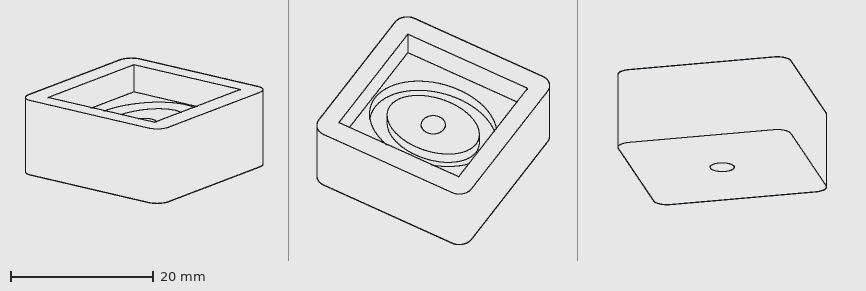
import cadquery as cq

side = 25.0
height = 11.0
corner_radius = 2.0

pocket_x = 19.0
pocket_y = 19.6
pocket_depth = 4.0

groove_outer_x = 14.5
groove_outer_y = 19.0
groove_width = 2.5
groove_depth = 2.0

island_drop = 0.2

hole_diameter = 3.4

pocket_floor = height - pocket_depth
groove_floor = pocket_floor - groove_depth


def elliptical_post(size_x, size_y, post_height):
    """Elliptical solid rising from the groove floor."""
    return (
        cq.Workplane("XY", origin=(0, 0, groove_floor))
        .ellipse(size_x / 2, size_y / 2)
        .extrude(post_height)
    )


block = (
    cq.Workplane("XY")
    .rect(side, side)
    .extrude(height)
    .edges("|Z")
    .fillet(corner_radius)
)

pocket = (
    cq.Workplane("XY", origin=(0, 0, pocket_floor))
    .rect(pocket_x, pocket_y)
    .extrude(pocket_depth)
)

island = elliptical_post(
    groove_outer_x - 2 * groove_width,
    groove_outer_y - 2 * groove_width,
    groove_depth - island_drop,
)
groove = elliptical_post(groove_outer_x, groove_outer_y, groove_depth).cut(island)

hole = cq.Workplane("XY").circle(hole_diameter / 2).extrude(height)

result = block.cut(pocket).cut(groove).cut(hole)